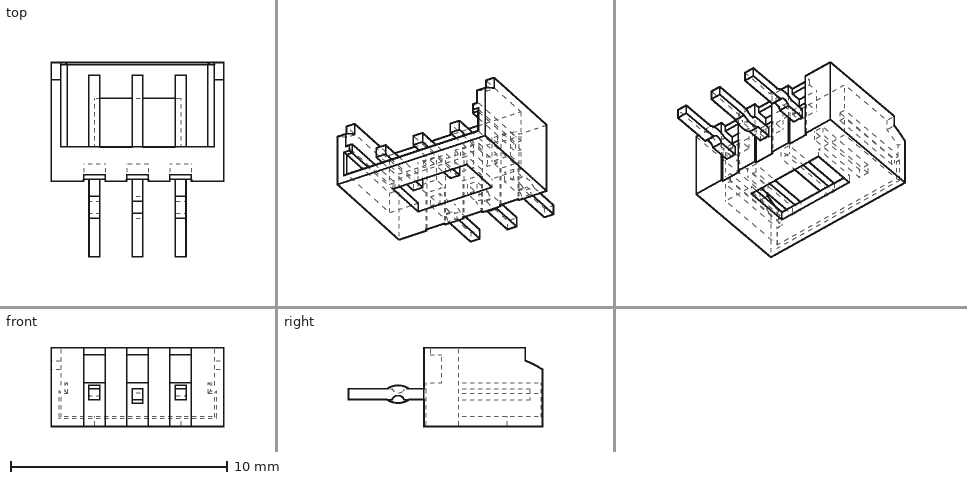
import cadquery as cq

overall_length = 9.0
width = 8.0
height = 3.65
tail_length = 3.5
depth = overall_length - tail_length

side_wall = 0.45
front_wall = 1.59
floor_height = 0.48
rib_width = 0.29
rib_bottom = 1.56
rib_top = 2.04
mouth_chamfer = 0.1
cavity_width = width - 2 * side_wall
channel_width = cavity_width - 2 * rib_width

pin_size = 0.5
pin_pitch = 2.0
pin_centre_z = 1.5
pin_rear_gap = 0.59
bend_from_tip = 2.3
bend_outer_span = 1.03
bend_outer_rise = 0.16
bend_inner_span = 0.56
bend_inner_rise = 0.19

window_length = 2.25
window_width = 2 * pin_pitch

notch_width = 1.0
notch_depth = 0.09
pocket_depth = 0.8
pocket_bottom = 2.04
lip_thickness = 0.32
lip_setback = 0.3

relief_length = 0.8
relief_inner_z = 3.06
relief_outer_z = 2.65
relief_bulge = 0.03


def box(x_size, y_start, y_end, z_start, z_end, x_centre=0.0):
    """Block centred on x_centre, spanning the given Y and Z ranges."""
    block = cq.Workplane("XY").box(x_size, y_end - y_start, z_end - z_start, centered=(True, False, False))
    return block.translate((x_centre, y_start, z_start))


def flared_slot(slot_width, z_start, z_end, side_flare):
    """Slot running back from the front wall, widened by a chamfer at its rear mouth."""
    slot_height = z_end - z_start
    straight = box(slot_width, front_wall, depth, z_start, z_end)
    flare = (
        cq.Workplane("XZ", origin=(0, depth - mouth_chamfer, z_start + slot_height / 2))
        .rect(slot_width, slot_height)
        .workplane(offset=-mouth_chamfer)
        .rect(slot_width + 2 * side_flare, slot_height + 2 * mouth_chamfer)
        .loft(ruled=True)
    )
    return straight.union(flare)


def cut_cavity(body):
    """Slots above, between and below the ribs, then the window in the floor."""
    body = body.cut(flared_slot(cavity_width, rib_top, height, side_flare=0))
    body = body.cut(flared_slot(channel_width, floor_height, rib_top, side_flare=mouth_chamfer))
    body = body.cut(flared_slot(cavity_width, floor_height, rib_bottom, side_flare=mouth_chamfer))
    return body.cut(box(window_width, front_wall, front_wall + window_length, 0, floor_height))


def cut_rear_relief(body):
    relief_start = depth - relief_length
    middle = (depth - relief_length / 2, (relief_inner_z + relief_outer_z) / 2 + relief_bulge)
    relief = (
        cq.Workplane("YZ")
        .moveTo(relief_start, height)
        .lineTo(relief_start, relief_inner_z)
        .threePointArc(middle, (depth, relief_outer_z))
        .lineTo(depth, height)
        .close()
        .extrude(width / 2, both=True)
    )
    return body.cut(relief)


def cut_notch(body, x_centre):
    """Shallow full-height notch, deepened to a pocket below a set-back top lip."""
    lip_bottom = height - lip_thickness
    body = body.cut(box(notch_width, 0, notch_depth, 0, height, x_centre))
    body = body.cut(box(notch_width, 0, pocket_depth, pocket_bottom, lip_bottom, x_centre))
    return body.cut(box(notch_width, 0, lip_setback, lip_bottom, height, x_centre))


def make_pin(x_centre, bend_up):
    """Square pin with an arched kink in its tail, arched upward or downward."""
    half = pin_size / 2
    rear = depth - pin_rear_gap
    bend_y = bend_from_tip - tail_length
    outer_half = bend_outer_span / 2
    inner_half = bend_inner_span / 2
    pin = (
        cq.Workplane("YZ")
        .moveTo(-tail_length, -half)
        .lineTo(bend_y - inner_half, -half)
        .threePointArc((bend_y, bend_inner_rise - half), (bend_y + inner_half, -half))
        .lineTo(rear, -half)
        .lineTo(rear, half)
        .lineTo(bend_y + outer_half, half)
        .threePointArc((bend_y, bend_outer_rise + half), (bend_y - outer_half, half))
        .lineTo(-tail_length, half)
        .close()
        .extrude(half, both=True)
    )
    if not bend_up:
        pin = pin.mirror("XY")
    return pin.translate((x_centre, 0, pin_centre_z))


result = box(width, 0, depth, 0, height)
result = cut_cavity(result)
result = cut_rear_relief(result)

for position in (-1, 0, 1):
    pin_x = position * pin_pitch
    result = cut_notch(result, pin_x)
    result = result.union(make_pin(pin_x, bend_up=position != 0))